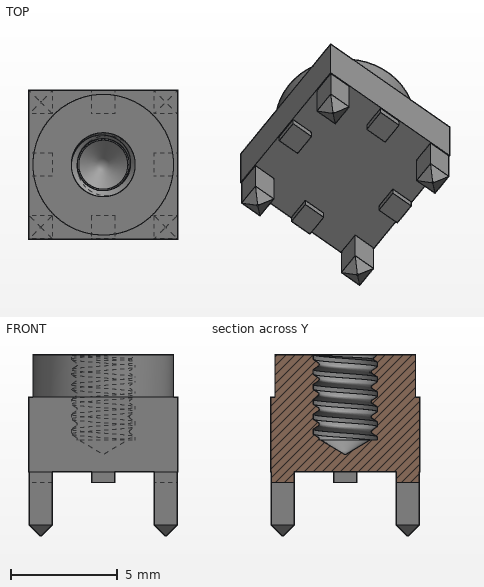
import math

import cadquery as cq

block_side = 7.0
block_height = 3.5
collar_diameter = 6.6
collar_height = 2.0

leg_side = 1.08
leg_spacing = 5.86
leg_length = 3.0
tip_height = 0.5
foot_side = leg_side
foot_height = 0.5

root_radius = 3.0 / 2
crest_radius = 1.218
crest_rounding = 0.1
flank_angle = 34.0
thread_pitch = 0.7
thread_start_angle = 163.0
thread_depth = 4.0
ridge_overlap = 0.1
drill_radius = 2.3 / 2
drill_point_angle = 118.0

tip_side = leg_side - 2 * tip_height
leg_offset = leg_spacing / 2
block_bottom = leg_length
part_top = block_bottom + block_height + collar_height
thread_floor = part_top - thread_depth


def make_body():
    block = (
        cq.Workplane("XY", origin=(0, 0, block_bottom))
        .rect(block_side, block_side)
        .extrude(block_height)
    )
    return block.faces(">Z").workplane().circle(collar_diameter / 2).extrude(collar_height)


def make_leg(x, y):
    tip = (
        cq.Workplane("XY", origin=(x, y, 0))
        .rect(tip_side, tip_side)
        .workplane(offset=tip_height)
        .rect(leg_side, leg_side)
        .loft(ruled=True)
    )
    return tip.faces(">Z").workplane().rect(leg_side, leg_side).extrude(leg_length - tip_height)


def make_foot(x, y):
    return (
        cq.Workplane("XY", origin=(x, y, block_bottom))
        .rect(foot_side, foot_side)
        .extrude(-foot_height)
    )


def make_cone(apex_z, rim_z, rim_radius):
    """Cone on the hole axis, with its apex at the bottom."""
    return (
        cq.Workplane("XZ")
        .polyline([(0, apex_z), (rim_radius, rim_z), (0, rim_z)])
        .close()
        .revolve(360, (0, 0, 0), (0, 1, 0))
    )


def make_thread_ridge():
    """Right-hand helical ridge with a rounded crest, running past both ends of the bore."""
    flank = math.radians(flank_angle)
    tangent_radius = crest_radius + crest_rounding * (1 - math.sin(flank))
    tangent_half_width = crest_rounding * math.cos(flank)
    outer_radius = root_radius + ridge_overlap
    base_half_width = tangent_half_width + (outer_radius - tangent_radius) * math.tan(flank)

    helix = cq.Wire.makeHelix(thread_pitch, thread_depth + 2 * thread_pitch, root_radius)
    ridge = (
        cq.Workplane("XZ")
        .moveTo(outer_radius, -base_half_width)
        .lineTo(tangent_radius, -tangent_half_width)
        .threePointArc((crest_radius, 0), (tangent_radius, tangent_half_width))
        .lineTo(outer_radius, base_half_width)
        .close()
        .sweep(cq.Workplane(helix), isFrenet=True)
    )
    start_z = thread_floor - thread_pitch
    return ridge.rotate((0, 0, 0), (0, 0, 1), thread_start_angle).translate((0, 0, start_z))


def make_thread_space():
    """Space inside the thread, with a 45 degree lead-in trimming the ridge at the mouth."""
    lead_in = make_cone(part_top - root_radius, part_top + root_radius, 2 * root_radius)
    ridge = make_thread_ridge().cut(lead_in)
    bore = (
        cq.Workplane("XY", origin=(0, 0, thread_floor))
        .circle(root_radius)
        .extrude(thread_depth)
    )
    return bore.cut(ridge)


def make_drill_point():
    """Conical hole bottom, narrower than the thread so that a flat ledge surrounds it."""
    depth = drill_radius / math.tan(math.radians(drill_point_angle / 2))
    return make_cone(thread_floor - depth, thread_floor, drill_radius)


result = make_body()

for x_sign in (-1, 1):
    for y_sign in (-1, 1):
        result = result.union(make_leg(x_sign * leg_offset, y_sign * leg_offset))

for sign in (-1, 1):
    result = result.union(make_foot(sign * leg_offset, 0))
    result = result.union(make_foot(0, sign * leg_offset))

result = result.cut(make_thread_space())
result = result.cut(make_drill_point())